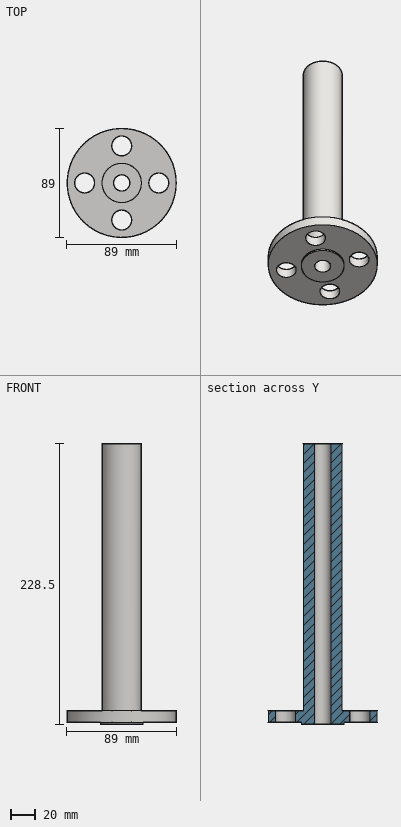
import cadquery as cq

total_height = 228.5

flange_diameter = 89.0
flange_thickness = 9.5

face_diameter = 35.0
face_height = 1.5

pipe_diameter = 32.0
bore_diameter = 13.0

bolt_hole_count = 4
bolt_hole_diameter = 16.0
bolt_circle_diameter = 60.4


def cylinder(diameter, bottom, top):
    """Solid cylinder on the Z axis between two heights."""
    return cq.Workplane("XY").workplane(offset=bottom).circle(diameter / 2).extrude(top - bottom)


flange_top = face_height + flange_thickness
raised_face = cylinder(face_diameter, 0, face_height)
flange = cylinder(flange_diameter, face_height, flange_top)
pipe = cylinder(pipe_diameter, flange_top, total_height)
body = raised_face.union(flange).union(pipe)

bore = cylinder(bore_diameter, 0, total_height)
bolt_holes = (
    cq.Workplane("XY")
    .polarArray(bolt_circle_diameter / 2, 0, 360, bolt_hole_count)
    .circle(bolt_hole_diameter / 2)
    .extrude(flange_top)
)

result = body.cut(bore).cut(bolt_holes)